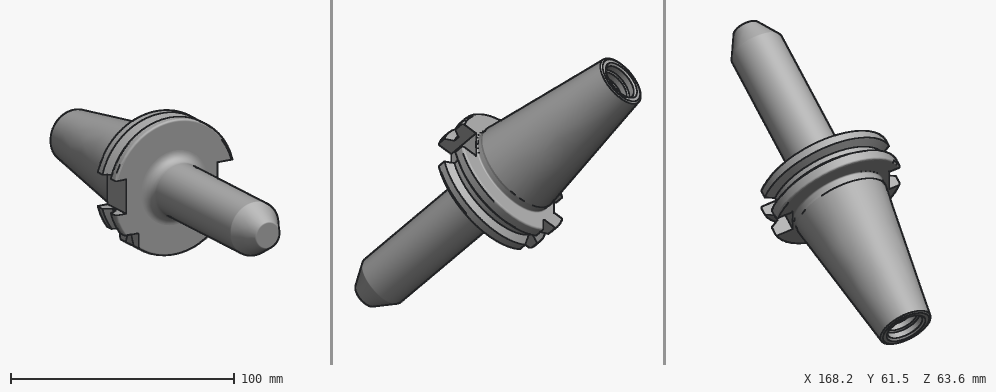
import cadquery as cq
import math

total_length = 168.2
taper_end = 67.5
collar_start = 68.5
flange_start = 71.2
flange_end = 87.5
nose_start = 156.8

taper_small_radius = 12.5
taper_large_radius = 22.2
collar_radius = 22.0
flange_radius = 31.8
shank_radius = 12.6
nose_tip_radius = 6.2

small_end_chamfer_length = 0.5
small_end_chamfer_height = 1.0
collar_fillet = 0.7
flange_edge_fillet = 1.0
shank_fillet = 4.9
nose_edge_fillet = 0.8

groove_center = 79.5
groove_floor_width = 2.7
groove_floor_radius = 28.0
groove_wall_angle = 30.0

slot_width = 16.2
front_slot_floor = 25.2
rear_slot_floor = 22.5
notch_y = -18.7
notch_z = -18.3
notch_fillet = 0.8

bore_mouth_radius = 9.6
bore_mouth_depth = 1.0
bore_pilot_radius = 8.5
bore_pilot_depth = 4.0
bore_neck_radius = 7.7
bore_neck_start = 4.7
bore_neck_end = 7.7
thread_minor_radius = 6.9
thread_start = 8.4
bore_depth = 33.6
drill_point_angle = 118.0


def revolve_about_x(profile):
    return profile.close().revolve(360, (0, 0, 0), (1, 0, 0))


def turned_body():
    profile = (
        cq.Workplane("XY")
        .lineTo(0, taper_small_radius - small_end_chamfer_height)
        .lineTo(small_end_chamfer_length, taper_small_radius)
        .lineTo(taper_end, taper_large_radius)
        .lineTo(collar_start, collar_radius)
        .lineTo(flange_start - collar_fillet, collar_radius)
        .radiusArc((flange_start, collar_radius + collar_fillet), -collar_fillet)
        .lineTo(flange_start, flange_radius - flange_edge_fillet)
        .radiusArc((flange_start + flange_edge_fillet, flange_radius), flange_edge_fillet)
        .lineTo(flange_end - flange_edge_fillet, flange_radius)
        .radiusArc((flange_end, flange_radius - flange_edge_fillet), flange_edge_fillet)
        .lineTo(flange_end, shank_radius + shank_fillet)
        .radiusArc((flange_end + shank_fillet, shank_radius), -shank_fillet)
        .lineTo(nose_start, shank_radius)
        .lineTo(total_length, nose_tip_radius)
        .lineTo(total_length, 0)
    )
    body = revolve_about_x(profile)
    nose_cone = body.faces(">>X[-2]")
    return nose_cone.edges("%CIRCLE").fillet(nose_edge_fillet)


def gripper_groove():
    depth = flange_radius - groove_floor_radius
    half_floor = groove_floor_width / 2
    half_mouth = half_floor + depth * math.tan(math.radians(groove_wall_angle))
    profile = (
        cq.Workplane("XY")
        .moveTo(groove_center - half_mouth, flange_radius)
        .lineTo(groove_center - half_floor, groove_floor_radius)
        .lineTo(groove_center + half_floor, groove_floor_radius)
        .lineTo(groove_center + half_mouth, flange_radius)
    )
    return revolve_about_x(profile)


def flange_cut(y_min, y_max, z_min, z_max):
    return cq.Workplane("XY").box(
        flange_end - flange_start, y_max - y_min, z_max - z_min, centered=False
    ).translate((flange_start, y_min, z_min))


def drive_slots():
    half_width = slot_width / 2
    front = flange_cut(-flange_radius, -front_slot_floor, -half_width, half_width)
    rear = flange_cut(rear_slot_floor, flange_radius, -half_width, half_width)
    return front.union(rear)


def orientation_notch():
    notch = flange_cut(-flange_radius, notch_y, -flange_radius, notch_z)
    return notch.edges("|X and >Y and >Z").fillet(notch_fillet)


def drawbar_bore():
    point_length = thread_minor_radius / math.tan(math.radians(drill_point_angle / 2))
    profile = (
        cq.Workplane("XY")
        .lineTo(0, bore_mouth_radius)
        .lineTo(bore_mouth_depth, bore_pilot_radius)
        .lineTo(bore_pilot_depth, bore_pilot_radius)
        .lineTo(bore_neck_start, bore_neck_radius)
        .lineTo(bore_neck_end, bore_neck_radius)
        .lineTo(thread_start, thread_minor_radius)
        .lineTo(bore_depth, thread_minor_radius)
        .lineTo(bore_depth + point_length, 0)
    )
    return revolve_about_x(profile)


result = turned_body()
result = result.cut(gripper_groove())
result = result.cut(drive_slots()).cut(orientation_notch())
result = result.cut(drawbar_bore())